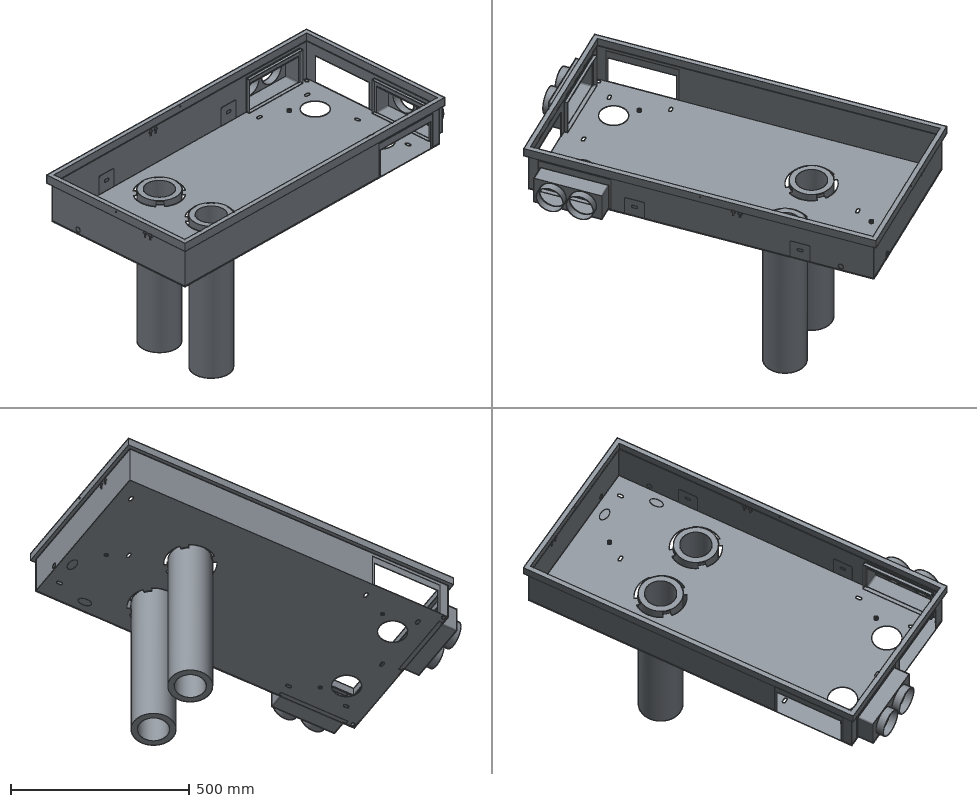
import cadquery as cq
import math


SHEET = 1.7
RIM_X = 531.0
RIM_Y = 1064.0
RIM_HEIGHT = 27.0
RIM_WIDTH = 15.0
RIM_OVERHANG = 10.0
HOUSING_HEIGHT = 153.0
ENGRAVING = 0.6

DUCT_FROM_EDGE = 149.0
BOX_WIDTH = 207.0
BOX_TOP = 89.0
BOX_REACH = 48.0
BOX_EDGE_RADIUS = 2.0
DUCT_SHEET = 1.0
STUB_DIAMETER = 82.0
STUB_LENGTH = 24.0
STUB_SPACING = 91.0
COLLAR_WIDTH = 221.0
COLLAR_TOP = 113.0
COLLAR_DEPTH = 11.0

PIPE_DIAMETER = 126.0
PIPE_BORE = 90.0
PIPE_BOTTOM = -487.0
PIPE_ABOVE_FLOOR = 12.0
PIPE_PITCH = 199.0
PIPE_X = -138.0
PIPE_Y = -206.0
SEAT_DIAMETER = 149.0
SLOTS_PER_SEAT = 4
SEAT_SLOT_ANGLE = 70
SEAT_TAB_HEIGHT = 10.0
SEAT_TAB_THICKNESS = 1.7

ROUND_HOLE_DIAMETER = 84.0
ROUND_HOLE_X = 125.0
ROUND_HOLE_Y = 418.0
SLOT_LENGTH = 18.0
SLOT_WIDTH = 9.0
END_SLOT_X = 194.0
SIDE_SLOT_X = 209.0
BACK_SLOT_Y = 458.0
SIDE_SLOT_Y = 279.0
MIDDLE_SLOT_Y = -370.0
FRONT_SLOT_Y = -481.0
STUD_DIAMETER = 12.0
STUD_BORE = 6.0
STUD_HEIGHT = 6.0
STUD_POINTS = [(-169, 358.0), (169, 358.0), (-33.0, -424.0)]
OVAL_LENGTH = 42.0
OVAL_WIDTH = 24.0
SIDE_OVAL = (-222.0, -380.0)
FRONT_OVAL = (-114.0, -486.0)
CORNER_HOLE_DIAMETER = 11.0
CORNER_HOLE_INSET = 9.0

WALL_RECESS_DIAMETER = 16.0
WALL_RECESS_Z = 15.0
WALL_RECESS_FROM_EDGE = 110.0
RIM_HOLE_DIAMETER = 3.0
RIM_HOLE_Z = 144.0
ARROW_TIP_Z = 124.0
ARROW_HEAD_WIDTH = 15.0
ARROW_HEAD_HEIGHT = 14.0
ARROW_STEM_WIDTH = 5.0
ARROW_BOTTOM_Z = 99.0
ARROW_PITCH = 20.0
FRONT_ARROWS_X = 113
SIDE_ARROWS_Y = -107.0
PANEL_WIDTH = 61.0
PANEL_HEIGHT = 61.0
PANEL_CORNER_RADIUS = 6.0
PANEL_Y = [202.0, -298.0]
PANEL_SLOT_Z = 35.0

RECESS_DEPTH = SHEET / 2
BODY_X = RIM_X - 2 * RIM_OVERHANG
BODY_Y = RIM_Y - 2 * RIM_OVERHANG
RIM_BOTTOM = HOUSING_HEIGHT - RIM_HEIGHT
BOX_HEIGHT = BOX_TOP - SHEET
BOX_MIDDLE_Z = SHEET + BOX_HEIGHT / 2
COLLAR_HEIGHT = COLLAR_TOP - SHEET
COLLAR_MIDDLE_Z = SHEET + COLLAR_HEIGHT / 2
SIDE_DUCT_Y = RIM_Y / 2 - DUCT_FROM_EDGE
BACK_DUCT_X = RIM_X / 2 - DUCT_FROM_EDGE
PIPE_POINTS = [(PIPE_X + i * PIPE_PITCH, PIPE_Y) for i in range(2)]


def block(x_range, y_range, z_range):
    """Box between the given limits along each axis."""
    size = [high - low for low, high in (x_range, y_range, z_range)]
    return cq.Workplane().box(*size, centered=False).translate((x_range[0], y_range[0], z_range[0]))


def centred_block(size_x, size_y, bottom, top):
    """Box centred on the Z axis."""
    return block((-size_x / 2, size_x / 2), (-size_y / 2, size_y / 2), (bottom, top))


def wall_plane(direction, along):
    """Plane on a wall's outer face, its normal outwards and its local Y up.

    `along` is the origin's place along the wall: a Y value on the side walls, else an X value.
    """
    places = {
        "-X": ((-BODY_X / 2, along, 0), (0, -1, 0), (-1, 0, 0)),
        "+X": ((BODY_X / 2, along, 0), (0, 1, 0), (1, 0, 0)),
        "-Y": ((along, -BODY_Y / 2, 0), (1, 0, 0), (0, -1, 0)),
        "+Y": ((along, BODY_Y / 2, 0), (-1, 0, 0), (0, 1, 0)),
    }
    return cq.Plane(*places[direction])


SIDE_WINDOW_PLANES = [wall_plane(direction, SIDE_DUCT_Y) for direction in ("-X", "+X")]
BACK_WINDOW_PLANES = [wall_plane("+Y", side * BACK_DUCT_X) for side in (-1, 1)]
CONNECTOR_PLANES = [wall_plane("-X", SIDE_DUCT_Y), wall_plane("+Y", BACK_DUCT_X)]


def tray():
    """Open sheet box with a wider rim around its top."""
    outside = centred_block(BODY_X, BODY_Y, 0, HOUSING_HEIGHT)
    rim = centred_block(RIM_X, RIM_Y, RIM_BOTTOM, HOUSING_HEIGHT)
    inside = centred_block(BODY_X - 2 * SHEET, BODY_Y - 2 * SHEET, SHEET, RIM_BOTTOM)
    mouth = centred_block(RIM_X - 2 * RIM_WIDTH, RIM_Y - 2 * RIM_WIDTH, RIM_BOTTOM, HOUSING_HEIGHT)
    return outside.union(rim).cut(inside).cut(mouth)


def floor_openings():
    """Round holes, corner holes and mounting slots in the floor."""
    holes = [(side * ROUND_HOLE_X, ROUND_HOLE_Y) for side in (-1, 1)]
    corner_x = BODY_X / 2 - SHEET - CORNER_HOLE_INSET
    corner_y = BODY_Y / 2 - SHEET - CORNER_HOLE_INSET
    corners = [(side * corner_x, corner_y) for side in (-1, 1)]
    lengthwise = [(-END_SLOT_X, BACK_SLOT_Y), (-SIDE_SLOT_X, SIDE_SLOT_Y), (-END_SLOT_X, FRONT_SLOT_Y)]
    crosswise = [
        (0, BACK_SLOT_Y),
        (END_SLOT_X, BACK_SLOT_Y),
        (SIDE_SLOT_X, SIDE_SLOT_Y),
        (0, MIDDLE_SLOT_Y),
        (END_SLOT_X, FRONT_SLOT_Y),
    ]
    cutter = cq.Workplane().pushPoints(holes).circle(ROUND_HOLE_DIAMETER / 2).extrude(SHEET)
    corner_holes = cq.Workplane().pushPoints(corners).circle(CORNER_HOLE_DIAMETER / 2)
    cutter = cutter.union(corner_holes.extrude(SHEET))
    for points, angle in ((lengthwise, 90), (crosswise, 0)):
        slots = cq.Workplane().pushPoints(points).slot2D(SLOT_LENGTH, SLOT_WIDTH, angle)
        cutter = cutter.union(slots.extrude(SHEET))
    return cutter


def floor_ovals():
    """Shallow oval marks in the floor, each along its nearest wall."""
    top_face = cq.Workplane().workplane(offset=SHEET)
    side = top_face.center(*SIDE_OVAL).ellipse(OVAL_WIDTH / 2, OVAL_LENGTH / 2).extrude(-ENGRAVING)
    top_face = cq.Workplane().workplane(offset=SHEET)
    front = top_face.center(*FRONT_OVAL).ellipse(OVAL_LENGTH / 2, OVAL_WIDTH / 2).extrude(-ENGRAVING)
    return side.union(front)


def floor_studs():
    """Short studs on the floor, each with a blind bore."""
    top_face = cq.Workplane().workplane(offset=SHEET).pushPoints(STUD_POINTS)
    return top_face.circle(STUD_DIAMETER / 2).circle(STUD_BORE / 2).extrude(STUD_HEIGHT)


def arc_segment(inner, outer, middle_angle, sweep, height):
    """Part of a ring around the Z axis, between two radii and over `sweep` degrees."""
    def point(radius, offset):
        angle = math.radians(middle_angle + offset)
        return (radius * math.cos(angle), radius * math.sin(angle))

    half = sweep / 2
    return (
        cq.Workplane()
        .moveTo(*point(outer, -half))
        .threePointArc(point(outer, 0), point(outer, half))
        .lineTo(*point(inner, half))
        .threePointArc(point(inner, 0), point(inner, -half))
        .close()
        .extrude(height)
    )


def pipe_seat_rim():
    """Upright ring on the floor that the curved slots divide into tabs."""
    return cq.Workplane().circle(PIPE_DIAMETER / 2 + SEAT_TAB_THICKNESS).extrude(SHEET + SEAT_TAB_HEIGHT)


def pipe_seat_cut():
    """Pipe hole with curved slots around it, centred on the Z axis."""
    top = SHEET + SEAT_TAB_HEIGHT
    cutter = cq.Workplane().circle(PIPE_DIAMETER / 2).extrude(top)
    for i in range(SLOTS_PER_SEAT):
        middle_angle = i * 360 / SLOTS_PER_SEAT
        slot = arc_segment(PIPE_BORE / 2, SEAT_DIAMETER / 2, middle_angle, SEAT_SLOT_ANGLE, top)
        cutter = cutter.union(slot)
    return cutter


def window_cut(plane):
    """Duct window through a wall."""
    return cq.Workplane(plane).center(0, BOX_MIDDLE_Z).rect(BOX_WIDTH, BOX_HEIGHT).extrude(-SHEET)


def window_field(plane):
    """Shallow recess on the outside around a side window, as large as the collar."""
    field = cq.Workplane(plane).center(0, COLLAR_MIDDLE_Z).rect(COLLAR_WIDTH, COLLAR_HEIGHT)
    return field.extrude(-ENGRAVING)


def wall_recess(plane):
    """Small round recess low in a wall, half as deep as the sheet."""
    return cq.Workplane(plane).center(0, WALL_RECESS_Z).circle(WALL_RECESS_DIAMETER / 2).extrude(-RECESS_DEPTH)


def rim_hole(plane):
    """Tiny hole through the middle of one side of the rim."""
    drill = cq.Workplane(plane).workplane(offset=RIM_OVERHANG).center(0, RIM_HOLE_Z)
    return drill.circle(RIM_HOLE_DIAMETER / 2).extrude(-RIM_WIDTH)


def arrow_pair(plane):
    """Two engraved arrows side by side that point to the rim."""
    head = ARROW_HEAD_WIDTH / 2
    stem = ARROW_STEM_WIDTH / 2
    shoulder = ARROW_TIP_Z - ARROW_HEAD_HEIGHT
    outline = [
        (0, ARROW_TIP_Z),
        (head, shoulder),
        (stem, shoulder),
        (stem, ARROW_BOTTOM_Z),
        (-stem, ARROW_BOTTOM_Z),
        (-stem, shoulder),
        (-head, shoulder),
    ]
    pair = cq.Workplane()
    for side in (-1, 1):
        arrow = cq.Workplane(plane).center(side * ARROW_PITCH / 2, 0).polyline(outline).close()
        pair = pair.add(arrow.extrude(-ENGRAVING))
    return pair.combine()


def panel_cut(plane):
    """Shallow panel with round top corners and a deeper slot in it."""
    panel = (
        cq.Workplane(plane)
        .center(0, PANEL_HEIGHT / 2)
        .rect(PANEL_WIDTH, PANEL_HEIGHT)
        .extrude(-ENGRAVING)
        .edges("|X and >Z")
        .fillet(PANEL_CORNER_RADIUS)
    )
    slot = cq.Workplane(plane).center(0, PANEL_SLOT_Z).slot2D(SLOT_LENGTH, SLOT_WIDTH)
    return panel.union(slot.extrude(-RECESS_DEPTH))


def make_housing():
    housing = tray().union(floor_studs())
    housing = housing.cut(floor_openings()).cut(floor_ovals())
    for x, y in PIPE_POINTS:
        housing = housing.union(pipe_seat_rim().translate((x, y, 0)))
        housing = housing.cut(pipe_seat_cut().translate((x, y, 0)))
    for plane in SIDE_WINDOW_PLANES + BACK_WINDOW_PLANES:
        housing = housing.cut(window_cut(plane))
    for plane in SIDE_WINDOW_PLANES:
        housing = housing.cut(window_field(plane))
    housing = housing.cut(wall_recess(wall_plane("-Y", WALL_RECESS_FROM_EDGE - RIM_X / 2)))
    housing = housing.cut(wall_recess(wall_plane("-X", WALL_RECESS_FROM_EDGE - RIM_Y / 2)))
    for direction in ("-X", "-Y"):
        housing = housing.cut(rim_hole(wall_plane(direction, 0)))
    housing = housing.cut(arrow_pair(wall_plane("-Y", FRONT_ARROWS_X)))
    housing = housing.cut(arrow_pair(wall_plane("-X", SIDE_ARROWS_Y)))
    for y in PANEL_Y:
        housing = housing.cut(panel_cut(wall_plane("-X", y)))
    return housing


def make_connector(plane):
    """Duct box with two round stubs outside the wall and a collar inside it."""
    inner_face = cq.Workplane().workplane(offset=-SHEET)
    collar = (
        inner_face.center(0, COLLAR_MIDDLE_Z)
        .rect(COLLAR_WIDTH, COLLAR_HEIGHT)
        .extrude(-COLLAR_DEPTH)
        .faces("<Z")
        .shell(-DUCT_SHEET)
    )
    box = (
        cq.Workplane()
        .workplane(offset=-SHEET - DUCT_SHEET)
        .center(0, BOX_MIDDLE_Z)
        .rect(BOX_WIDTH, BOX_HEIGHT)
        .extrude(BOX_REACH + SHEET + DUCT_SHEET)
        .edges("|Z")
        .fillet(BOX_EDGE_RADIUS)
    )
    stub_points = [(side * STUB_SPACING / 2, BOX_MIDDLE_Z) for side in (-1, 1)]
    box_end = cq.Workplane().workplane(offset=BOX_REACH).pushPoints(stub_points)
    stubs = box_end.circle(STUB_DIAMETER / 2).extrude(STUB_LENGTH)
    cavity = box.cut(box.faces("<Z").shell(-DUCT_SHEET))
    box_inside = cq.Workplane().workplane(offset=BOX_REACH - DUCT_SHEET).pushPoints(stub_points)
    bores = box_inside.circle(STUB_DIAMETER / 2 - DUCT_SHEET).extrude(STUB_LENGTH + DUCT_SHEET)
    connector = collar.union(box).union(stubs).cut(cavity).cut(bores)
    return cq.Workplane(connector.val().moved(plane.location))


def make_pipe(x, y):
    pipe = cq.Workplane().workplane(offset=PIPE_BOTTOM).circle(PIPE_DIAMETER / 2).circle(PIPE_BORE / 2)
    return pipe.extrude(SHEET + PIPE_ABOVE_FLOOR - PIPE_BOTTOM).translate((x, y, 0))


housing = make_housing()
connectors = [make_connector(plane) for plane in CONNECTOR_PLANES]
pipes = [make_pipe(x, y) for x, y in PIPE_POINTS]

result = cq.Compound.makeCompound(
    [
        housing.solids().val(),
        *[connector.solids().val() for connector in connectors],
        *[pipe.solids().val() for pipe in pipes],
    ]
)